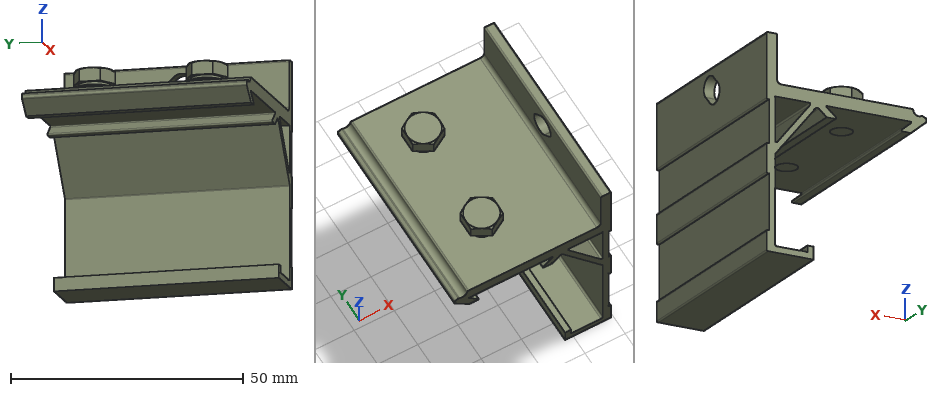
import cadquery as cq
import math

LENGTH = 50.0
DEPTH = 39.0
HEIGHT = 50.31

PAD_RISE = 0.6
WALL_THICKNESS = 1.5
FLANGE_THICKNESS = 2.6
UPPER_PAD_BOTTOM = 34.9
MIDDLE_PAD_TOP = 24.9
MIDDLE_PAD_BOTTOM = 17.9
LOWER_PAD_TOP = 4.9
PAD_CORNER_RADIUS = 0.35
WALL_REAR = DEPTH - PAD_RISE
WALL_FRONT = WALL_REAR - WALL_THICKNESS
FLANGE_FRONT = DEPTH - FLANGE_THICKNESS

PLATE_BOTTOM = 35.85
PLATE_THICKNESS = 3.0
PLATE_TOP = PLATE_BOTTOM + PLATE_THICKNESS
FLANGE_FILLET = 1.0
TOP_EDGE_RADIUS = 0.4

FOOT_REACH = 11.5
FOOT_THICKNESS = 1.5
LIP_THICKNESS = 1.5
LIP_HEIGHT = 3.0
FOOT_FILLET = 0.5
FOOT_FRONT = DEPTH - FOOT_REACH

GROOVE_RADIUS = 1.3
GROOVE_DROP = 0.1
GROOVE_X = 1.85
GROOVE_Z = PLATE_TOP - GROOVE_DROP
GROOVE_END_X = GROOVE_X + math.sqrt(GROOVE_RADIUS**2 - GROOVE_DROP**2)

NOSE_FACE_TOP = PLATE_TOP - 1.6
NOSE_FACE_BOTTOM = PLATE_TOP - 2.5
NOSE_SLOPE = math.tan(math.radians(23.0))
NOSE_RADIUS = 0.25

BOLT_X = 14.0
HOOK_SLOPE = math.tan(math.radians(40.0))
HOOK_DROP = 2.6
HOOK_ROOT_X = 3.35
HOOK_TIP_RADIUS = 0.25
HOOK_ROOT_RADIUS = 0.15
HOOK_BOTTOM = PLATE_BOTTOM - HOOK_DROP
HOOK_RUN = HOOK_DROP / HOOK_SLOPE
HOOK_OUTER_X = (NOSE_FACE_BOTTOM - PLATE_BOTTOM) / HOOK_SLOPE

STRUT_ANGLE = math.radians(51.0)
STRUT_SLOPE = math.tan(STRUT_ANGLE)
STRUT_THICKNESS = 1.4
STRUT_WALL_Z = 22.6
STRUT_FILLET = 0.3
NOTCH_RADIUS = 0.5
STRUT_UPPER_WALL_Z = STRUT_WALL_Z + STRUT_THICKNESS / math.cos(STRUT_ANGLE)
STRUT_UPPER_ROOT_X = WALL_FRONT - (PLATE_BOTTOM - STRUT_UPPER_WALL_Z) / STRUT_SLOPE
STRUT_LOWER_ROOT_X = WALL_FRONT - (PLATE_BOTTOM - STRUT_WALL_Z) / STRUT_SLOPE

SLOT_WIDTH = 5.0
SLOT_CENTER_DISTANCE = 3.0
SLOT_ANGLE = 45.0
SLOT_Z = 45.1

BOLT_SPACING = 25.0
SHANK_DIAMETER = 5.0
COLLAR_DIAMETER = 6.88
COLLAR_HEIGHT = 0.6
COLLAR_BOTTOM = 41.15
HEAD_BOTTOM = COLLAR_BOTTOM + COLLAR_HEIGHT
HEAD_HEIGHT = 3.0
HEAD_ACROSS_FLATS = 8.0
HEAD_ACROSS_CORNERS = HEAD_ACROSS_FLATS / math.cos(math.radians(30.0))
HEAD_CHAMFER_ANGLE = math.radians(30.0)
BOLT_YS = (-BOLT_SPACING / 2, BOLT_SPACING / 2)


def extrude_section(outline):
    """Extrude a closed XZ outline along the whole rail length."""
    return outline.close().extrude(LENGTH / 2, both=True)


def bar(x_min, x_max, z_min, z_max):
    corners = [(x_min, z_min), (x_max, z_min), (x_max, z_max), (x_min, z_max)]
    return extrude_section(cq.Workplane("XZ").polyline(corners))


def fillet_at(body, x, z, radius):
    """Round the lengthwise edge of the body that passes through (x, z)."""
    reach = 0.05
    corner = cq.selectors.BoxSelector((x - reach, -reach, z - reach), (x + reach, reach, z + reach))
    return body.edges("|Y").edges(corner).fillet(radius)


def make_wall():
    wall = bar(WALL_FRONT, WALL_REAR, 0, PLATE_TOP)
    pads = [
        (WALL_FRONT, 0, LOWER_PAD_TOP),
        (WALL_FRONT, MIDDLE_PAD_BOTTOM, MIDDLE_PAD_TOP),
        (WALL_FRONT, UPPER_PAD_BOTTOM, PLATE_TOP),
        (FLANGE_FRONT, PLATE_BOTTOM, HEIGHT),
    ]
    for front, bottom, top in pads:
        wall = wall.union(bar(front, DEPTH, bottom, top))
    return wall


def make_foot():
    foot = bar(FOOT_FRONT, WALL_FRONT, 0, FOOT_THICKNESS)
    return foot.union(bar(FOOT_FRONT, FOOT_FRONT + LIP_THICKNESS, 0, LIP_HEIGHT))


def groove_start():
    """Point where the sloping nose face runs into the groove circle."""
    across = NOSE_FACE_TOP - GROOVE_Z
    a = 1 + NOSE_SLOPE**2
    half_b = NOSE_SLOPE * across - GROOVE_X
    c = GROOVE_X**2 + across**2 - GROOVE_RADIUS**2
    x = (-half_b - math.sqrt(half_b**2 - a * c)) / a
    z = NOSE_FACE_TOP + NOSE_SLOPE * x
    return x, z


def make_plate():
    """Plate with the groove and the nose along its front edge."""
    diagonal = GROOVE_RADIUS * math.sqrt(0.5)
    outline = (
        cq.Workplane("XZ")
        .moveTo(WALL_FRONT, PLATE_TOP)
        .lineTo(GROOVE_END_X, PLATE_TOP)
        .threePointArc((GROOVE_X + diagonal, GROOVE_Z - diagonal), groove_start())
        .lineTo(0, NOSE_FACE_TOP)
        .lineTo(0, NOSE_FACE_BOTTOM)
        .lineTo(HOOK_OUTER_X, PLATE_BOTTOM)
        .lineTo(WALL_FRONT, PLATE_BOTTOM)
    )
    return extrude_section(outline)


def make_front_hook():
    """Sloping hook whose outer face continues the underside of the nose."""
    outline = cq.Workplane("XZ").polyline(
        [
            (HOOK_OUTER_X, PLATE_BOTTOM),
            (HOOK_OUTER_X + HOOK_RUN, HOOK_BOTTOM),
            (HOOK_ROOT_X + HOOK_RUN, HOOK_BOTTOM),
            (HOOK_ROOT_X, PLATE_BOTTOM),
        ]
    )
    hook = extrude_section(outline)
    return fillet_at(hook, HOOK_ROOT_X + HOOK_RUN, HOOK_BOTTOM, HOOK_TIP_RADIUS)


def make_rear_hook(front_hook):
    return front_hook.mirror("YZ", (BOLT_X, 0, 0))


def make_strut():
    outline = cq.Workplane("XZ").polyline(
        [
            (WALL_FRONT, STRUT_WALL_Z),
            (WALL_FRONT, STRUT_UPPER_WALL_Z),
            (STRUT_UPPER_ROOT_X, PLATE_BOTTOM),
            (STRUT_LOWER_ROOT_X, PLATE_BOTTOM),
        ]
    )
    return extrude_section(outline)


def make_slot_cutter():
    return (
        cq.Workplane("YZ", origin=(FLANGE_FRONT, 0, SLOT_Z))
        .slot2D(SLOT_CENTER_DISTANCE + SLOT_WIDTH, SLOT_WIDTH, 180 - SLOT_ANGLE)
        .extrude(FLANGE_THICKNESS)
    )


def make_shank(y):
    shank = cq.Workplane("XY", origin=(BOLT_X, y, PLATE_BOTTOM)).circle(SHANK_DIAMETER / 2)
    return shank.extrude(COLLAR_BOTTOM - PLATE_BOTTOM)


def round_rail_edges(rail):
    mirrored_outer_x = 2 * BOLT_X - HOOK_OUTER_X
    hook_share = HOOK_SLOPE / (HOOK_SLOPE + STRUT_SLOPE)
    notch_x = STRUT_LOWER_ROOT_X + hook_share * (mirrored_outer_x - STRUT_LOWER_ROOT_X)
    notch_z = PLATE_BOTTOM - STRUT_SLOPE * (notch_x - STRUT_LOWER_ROOT_X)
    corners = [
        (DEPTH, 0, PAD_CORNER_RADIUS),
        (DEPTH, LOWER_PAD_TOP, PAD_CORNER_RADIUS),
        (DEPTH, MIDDLE_PAD_BOTTOM, PAD_CORNER_RADIUS),
        (DEPTH, MIDDLE_PAD_TOP, PAD_CORNER_RADIUS),
        (DEPTH, UPPER_PAD_BOTTOM, PAD_CORNER_RADIUS),
        (DEPTH, HEIGHT, PAD_CORNER_RADIUS),
        (FLANGE_FRONT, HEIGHT, TOP_EDGE_RADIUS),
        (FLANGE_FRONT, PLATE_TOP, FLANGE_FILLET),
        (GROOVE_END_X, PLATE_TOP, TOP_EDGE_RADIUS),
        (WALL_FRONT, FOOT_THICKNESS, FOOT_FILLET),
        (0, NOSE_FACE_TOP, NOSE_RADIUS),
        (0, NOSE_FACE_BOTTOM, NOSE_RADIUS),
        (*groove_start(), NOSE_RADIUS),
        (HOOK_ROOT_X, PLATE_BOTTOM, HOOK_ROOT_RADIUS),
        (2 * BOLT_X - HOOK_ROOT_X, PLATE_BOTTOM, HOOK_ROOT_RADIUS),
        (notch_x, notch_z, NOTCH_RADIUS),
        (WALL_FRONT, STRUT_UPPER_WALL_Z, STRUT_FILLET),
        (STRUT_UPPER_ROOT_X, PLATE_BOTTOM, STRUT_FILLET),
        (WALL_FRONT, STRUT_WALL_Z, STRUT_FILLET),
    ]
    for x, z, radius in corners:
        rail = fillet_at(rail, x, z, radius)
    return rail


def make_rail():
    front_hook = make_front_hook()
    rail = make_wall()
    for part in (make_foot(), make_plate(), front_hook, make_rear_hook(front_hook), make_strut()):
        rail = rail.union(part)
    rail = round_rail_edges(rail.clean())
    rail = rail.cut(make_slot_cutter())
    for y in BOLT_YS:
        rail = rail.cut(make_shank(y))
    return rail


def make_bolt(y):
    """Bolt with a collar under a hexagon head whose top corners are cut by a cone."""
    collar = cq.Workplane("XY", origin=(BOLT_X, y, COLLAR_BOTTOM)).circle(COLLAR_DIAMETER / 2)
    head = (
        cq.Workplane("XY", origin=(BOLT_X, y, HEAD_BOTTOM))
        .transformed(rotate=(0, 0, 90))
        .polygon(6, HEAD_ACROSS_CORNERS)
        .extrude(HEAD_HEIGHT)
    )
    top_radius = HEAD_ACROSS_FLATS / 2
    corner_radius = HEAD_ACROSS_CORNERS / 2
    corner_drop = (corner_radius - top_radius) * math.tan(HEAD_CHAMFER_ANGLE)
    rounding = (
        cq.Workplane("XZ", origin=(BOLT_X, y, HEAD_BOTTOM))
        .polyline(
            [
                (0, 0),
                (corner_radius, 0),
                (corner_radius, HEAD_HEIGHT - corner_drop),
                (top_radius, HEAD_HEIGHT),
                (0, HEAD_HEIGHT),
            ]
        )
        .close()
        .revolve(360, (0, 0, 0), (0, 1, 0))
    )
    return make_shank(y).union(collar.extrude(COLLAR_HEIGHT)).union(head.intersect(rounding))


rail = make_rail()
bolts = [make_bolt(y) for y in BOLT_YS]

result = cq.Compound.makeCompound([rail.val(), *[bolt.val() for bolt in bolts]])